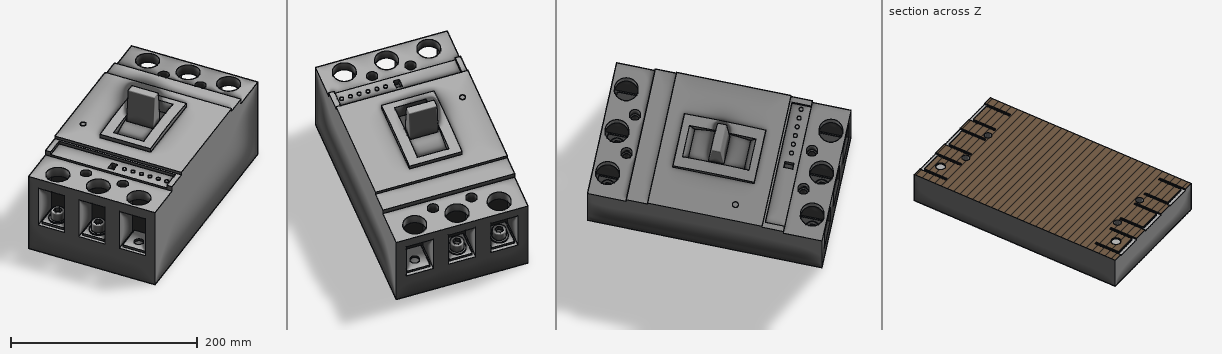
import cadquery as cq
import math


width = 150.0
length = 257.0
base_height = 97.0
shoulder_half_length = 86.0
shoulder_height = 102.8
cover_half_length = 62.7
cover_height = 106.1

pole_pitch = 48.0
terminal_inset = 16.5
terminal_y = length / 2 - terminal_inset
access_diameter = 25.7
pocket_width = 30.8
pocket_floor = 35.5
pocket_ceiling = 84.8
pocket_depth = 2 * terminal_inset
bar_width = 26.5
bar_thickness = 2.5
bar_setback = 3.9
bar_corner = 1.3
bar_hole_diameter = 10.3
bar_top = pocket_floor + bar_thickness

washer_diameter = 19.5
washer_thickness = 1.5
head_diameter = 15.2
head_height = 9.8
head_round = 1.0
socket_sides = 6
socket_flats = 7.7
socket_depth = 5.1

mount_x = 21.8
mount_y = 97.0
mount_diameter = 8.0
mount_bore_diameter = 12.0
mount_bore_depth = 15.5

frame_width = 60.0
frame_length = 89.2
frame_edge_height = 110.8
frame_crown_height = 112.5

opening_width = 35.7
opening_top_length = 74.3
opening_floor_length = 61.2
barrel_radius = 66.8
barrel_crown = 109.0

handle_width = 32.0
handle_top = 147.5
handle_top_length = 10.0
handle_root_length = 17.0
handle_round = 1.3

button_x = -57.0
button_y = -29.8
button_diameter = 6.5
button_depth = 0.8

panel_width = 137.8
panel_back_y = -65.0
panel_floor = 99.2
control_y = -76.0
window_width = 6.7
window_length = 9.8
window_depth = 7.7
dial_count = 6
dial_first_x = 14.0
dial_pitch = 10.0
dial_diameter = 4.4
dial_height = 1.0


def block(size_x, size_y, bottom, top, x=0, y=0):
    """Box centred on (x, y) between two heights."""
    return cq.Workplane("XY", origin=(x, y, bottom)).box(
        size_x, size_y, top - bottom, centered=(True, True, False)
    )


def disc(diameter, bottom, top, x=0, y=0):
    """Upright cylinder centred on (x, y) between two heights."""
    return cq.Workplane("XY", origin=(x, y, bottom)).circle(diameter / 2).extrude(top - bottom)


def across(profile_width):
    """YZ workplane from which a profile extrudes to be centred on X = 0."""
    return cq.Workplane("YZ", origin=(-profile_width / 2, 0, 0))


def make_housing():
    housing = block(width, length, 0, base_height)
    housing = housing.union(block(width, 2 * shoulder_half_length, 0, shoulder_height))
    return housing.union(block(width, 2 * cover_half_length, 0, cover_height))


def make_frame():
    half = frame_length / 2
    return (
        across(frame_width)
        .moveTo(-half, base_height)
        .lineTo(half, base_height)
        .lineTo(half, frame_edge_height)
        .threePointArc((0, frame_crown_height), (-half, frame_edge_height))
        .close()
        .extrude(frame_width)
    )


def make_opening():
    """Space above the barrel, between the sloping end walls."""
    barrel_axis = barrel_crown - barrel_radius
    floor_half = opening_floor_length / 2
    floor_z = barrel_axis + math.sqrt(barrel_radius**2 - floor_half**2)
    top_half = opening_top_length / 2
    return (
        across(opening_width)
        .moveTo(-top_half, frame_crown_height)
        .lineTo(-floor_half, floor_z)
        .threePointArc((0, barrel_crown), (floor_half, floor_z))
        .lineTo(top_half, frame_crown_height)
        .close()
        .extrude(opening_width)
    )


def make_handle():
    """Tapered lever, its root sunk into the barrel."""
    slope = (handle_root_length - handle_top_length) / (handle_top - barrel_crown)
    root_z = base_height
    root_half = handle_root_length / 2 + slope * (barrel_crown - root_z) / 2
    top_half = handle_top_length / 2
    return (
        across(handle_width)
        .moveTo(-root_half, root_z)
        .lineTo(root_half, root_z)
        .lineTo(top_half, handle_top)
        .lineTo(-top_half, handle_top)
        .close()
        .extrude(handle_width)
        .edges("not <Z")
        .fillet(handle_round)
    )


def cut_panel(body):
    panel_length = shoulder_half_length + panel_back_y
    panel_y = panel_back_y - panel_length / 2
    body = body.cut(block(panel_width, panel_length, panel_floor, shoulder_height, y=panel_y))
    window = block(window_width, window_length, panel_floor - window_depth, panel_floor, y=control_y)
    body = body.cut(window)
    for i in range(dial_count):
        dial_x = dial_first_x + i * dial_pitch
        body = body.union(disc(dial_diameter, panel_floor, panel_floor + dial_height, dial_x, control_y))
    return body


def make_bolt(x, y):
    washer_top = bar_top + washer_thickness
    head_top = washer_top + head_height
    shank = disc(bar_hole_diameter, pocket_floor, bar_top, x, y)
    washer = disc(washer_diameter, bar_top, washer_top, x, y)
    head = disc(head_diameter, washer_top, head_top, x, y).faces(">Z").edges().fillet(head_round)
    socket = (
        cq.Workplane("XY", origin=(x, y, head_top))
        .transformed(rotate=(0, 0, 90))
        .polygon(socket_sides, socket_flats / math.cos(math.pi / socket_sides))
        .extrude(-socket_depth)
    )
    return shank.union(washer).union(head).cut(socket)


def add_terminal(body, x, end, bolted):
    """Pocket, access hole and connection bar of one pole; end is +1 or -1 along Y."""
    y = end * terminal_y
    pocket_y = end * (length - pocket_depth) / 2
    bar_length = pocket_depth - bar_setback
    bar_y = end * (length / 2 - bar_setback - bar_length / 2)
    body = body.cut(block(pocket_width, pocket_depth, pocket_floor, pocket_ceiling, x, pocket_y))
    body = body.cut(disc(access_diameter, pocket_ceiling, base_height, x, y))
    outer_face = ">Y" if end > 0 else "<Y"
    bar = block(bar_width, bar_length, pocket_floor, bar_top, x, bar_y)
    bar = bar.faces(outer_face).edges("|Z").fillet(bar_corner)
    bar = bar.cut(disc(bar_hole_diameter, pocket_floor, bar_top, x, y))
    body = body.union(bar)
    if bolted:
        body = body.union(make_bolt(x, y))
    return body


def cut_mounting_hole(body, x, y):
    body = body.cut(disc(mount_diameter, 0, base_height, x, y))
    return body.cut(disc(mount_bore_diameter, base_height - mount_bore_depth, base_height, x, y))


result = make_housing().union(make_frame()).cut(make_opening()).union(make_handle())
result = result.cut(disc(button_diameter, cover_height - button_depth, cover_height, button_x, button_y))
result = cut_panel(result)
for end in (-1, 1):
    for pole in (-1, 0, 1):
        result = add_terminal(result, pole * pole_pitch, end, bolted=pole < 1)
    for side in (-1, 1):
        result = cut_mounting_hole(result, side * mount_x, end * mount_y)